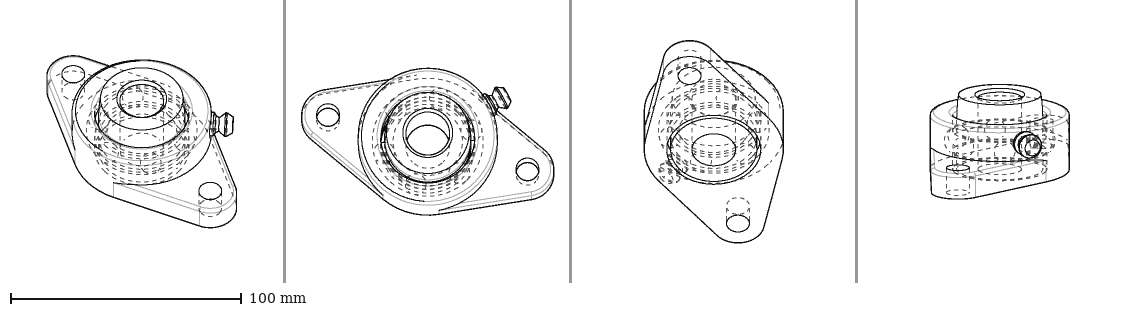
import cadquery as cq
import math

length = 112.7
tip_radius = 11.5
hub_radius = 30.2
hub_height = 25.5
flange_height = 11.2
bolt_hole_diameter = 9.9
bolt_offset = length / 2 - tip_radius
edge_fillet = 1.5
housing_bore_radius = 20.4
housing_bore_fillet = 1.6

ring_top = 33.4
ring_bottom = 0.0
ring_radius = 18.7
ring_top_radius = 17.9
ring_bore_radius = 9.5
ring_bore_chamfer = 1.4
crown_height = 10.8

ball_count = 6
ball_radius = 4.5
ball_height = hub_height / 2
pitch_radius = (housing_bore_radius + ring_radius) / 2
first_ball_angle = 30.0

nipple_angle = 45.0
nipple_height = 18.9
nipple_root = hub_radius - 2.3
collar_end = 31.2
collar_radius = 5.2
shoulder_end = 32.1
shoulder_radius = 3.8
neck_distance = 33.6
neck_radius = 2.9
head_start = 36.3
head_end = 37.0
head_radius = 5.2
tip_distance = 39.6
tip_face_radius = 3.5


def make_flange():
    """Diamond flange with sides tangent to the hub and to the tips; its middle ends inside the hub."""
    sine = (hub_radius - tip_radius) / bolt_offset
    cosine = math.sqrt(1 - sine**2)
    hub_x = hub_radius * sine
    hub_y = hub_radius * cosine
    tip_x = bolt_offset + tip_radius * sine
    tip_y = tip_radius * cosine
    flange = (
        cq.Workplane("XY")
        .moveTo(-hub_x, hub_y)
        .lineTo(hub_x, hub_y)
        .lineTo(tip_x, tip_y)
        .threePointArc((length / 2, 0), (tip_x, -tip_y))
        .lineTo(hub_x, -hub_y)
        .lineTo(-hub_x, -hub_y)
        .lineTo(-tip_x, -tip_y)
        .threePointArc((-length / 2, 0), (-tip_x, tip_y))
        .close()
        .extrude(flange_height)
    )
    return flange.faces(">Z").edges().fillet(edge_fillet)


def make_nipple():
    """Grease nipple turned about its own axis, pointing radially out of the hub."""
    nipple = (
        cq.Workplane("XZ")
        .moveTo(nipple_root, 0)
        .lineTo(nipple_root, collar_radius)
        .lineTo(collar_end, collar_radius)
        .lineTo(shoulder_end, shoulder_radius)
        .lineTo(neck_distance, neck_radius)
        .lineTo(head_start, head_radius)
        .lineTo(head_end, head_radius)
        .lineTo(tip_distance, tip_face_radius)
        .lineTo(tip_distance, 0)
        .close()
        .revolve(360, (0, 0, 0), (1, 0, 0))
    )
    return nipple.rotate((0, 0, 0), (0, 0, 1), nipple_angle).translate((0, 0, nipple_height))


def make_ball_track():
    """Ring-shaped space swept by the balls, cut from both races."""
    return (
        cq.Workplane("XZ")
        .center(pitch_radius, ball_height)
        .circle(ball_radius)
        .revolve(360, (-pitch_radius, 0, 0), (-pitch_radius, 1, 0))
    )


def make_housing():
    hub = cq.Workplane("XY").circle(hub_radius).extrude(hub_height)
    hub = hub.faces(">Z").edges().fillet(edge_fillet)
    bore = cq.Workplane("XY").circle(housing_bore_radius).extrude(hub_height)
    bolt_holes = (
        cq.Workplane("XY")
        .pushPoints([(-bolt_offset, 0), (bolt_offset, 0)])
        .circle(bolt_hole_diameter / 2)
        .extrude(flange_height)
    )
    housing = make_flange().union(hub).union(make_nipple()).cut(bore)
    bore_rim = housing.faces(">Z").edges(cq.selectors.RadiusNthSelector(0))
    housing = bore_rim.fillet(housing_bore_fillet)
    return housing.cut(bolt_holes).cut(make_ball_track())


def make_inner_ring():
    """Inner ring whose upper outside is a shallow arc tangent to the cylinder below."""
    ring = (
        cq.Workplane("XZ")
        .moveTo(ring_bore_radius, ring_bottom)
        .lineTo(ring_radius, ring_bottom)
        .lineTo(ring_radius, ring_top - crown_height)
        .tangentArcPoint((ring_top_radius, ring_top), relative=False)
        .lineTo(ring_bore_radius + ring_bore_chamfer, ring_top)
        .lineTo(ring_bore_radius, ring_top - ring_bore_chamfer)
        .close()
        .revolve(360, (0, 0, 0), (0, 1, 0))
    )
    return ring.cut(make_ball_track())


def make_ball(angle):
    ball = cq.Workplane("XY").sphere(ball_radius).translate((pitch_radius, 0, ball_height))
    return ball.rotate((0, 0, 0), (0, 0, 1), angle)


housing = make_housing()
inner_ring = make_inner_ring()
balls = []
for index in range(ball_count):
    angle = first_ball_angle + index * 360 / ball_count
    balls.append(make_ball(angle).val())

result = cq.Compound.makeCompound([housing.val(), inner_ring.val(), *balls])